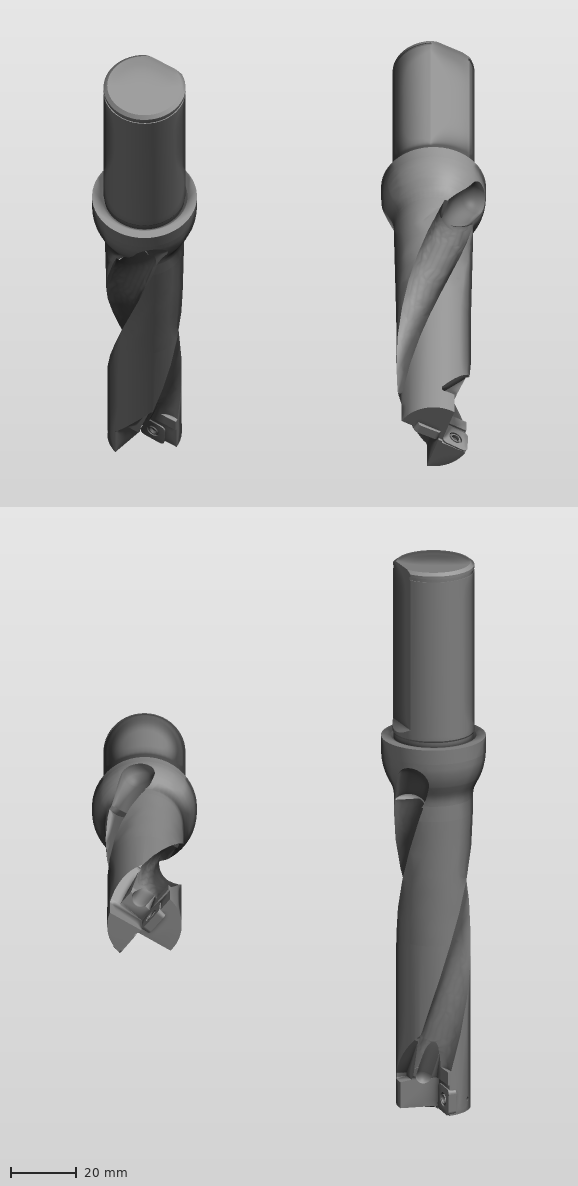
import cadquery as cq
import math

TOTAL_LENGTH = 175.0
SHANK_R = 25.0 / 2
END_FACE_R = 11.4
END_CHAMFER_HEIGHT = 0.9
GROOVE_R = 24.5 / 2
END_GROOVE_TOP_Z = 173.2
END_GROOVE_BOTTOM_Z = 172.2
UNDERCUT_TOP_Z = 121.3
UNDERCUT_CHAMFER = 0.5
UNDERCUT_RIM_R = 13.1
FLAT_Y = 10.5
FLAT_BOTTOM_Z = 124.2

FLANGE_R = 32.0 / 2
FLANGE_TOP_Z = 119.5
FLANGE_RIM_Z = 115.0
BODY_TOP_R = 12.0
BODY_LOW_R = 11.4
NECK_TOP_Z = 100.3
NECK_LOW_Z = 95.4
TAPER_END_Z = 55.3
BODY_BOTTOM_Z = 0.7
RAISED_BOTTOM_Z = 1.5
BULGE_R = 20.1

FLUTE_R = 6.5
FLUTE_CENTER_R = 10.8
FLUTE_BOTTOM_Z = 14.7
FLUTE_TOP_Z = 99.8
FLUTE_TOP_ANGLE = -70.0
TWIST_PER_UNIT = 1.629
FLANGE_RUNOUT_R = 5.2
FLANGE_RUNOUT_START = cq.Vector(2.1, -8.8, 98.0)
FLANGE_RUNOUT_END = cq.Vector(9.0, -10.2, 108.7)
TIP_RUNOUT_R = 2.8
TIP_RUNOUT_START = cq.Vector(7.0, -2.1, 22.8)
TIP_RUNOUT_END = cq.Vector(3.5, -4.4, 11.5)

CENTRAL_WALL_X = -1.5
PERIPHERAL_WALL_X = -3.2
WALL_TOP_Z = 10.5
FLANK_FOOT_X = 2.5
FLANK_TOP_X = 7.0
FLANK_TOP_Z = 25.4
SLOPE_DEPTH_Y = -7.9
SLOPE_START_X = -2.5
SLOPE_START_Z = 11.5
SLOPE_END_X = 8.8
SLOPE_END_Z = 27.1
WALL_DRAFT = 10.0
LAND_DEPTH = 0.5

INSERT_SIDE = 8.4
INSERT_CORNER_R = 1.4
INSERT_THICKNESS = 2.6
INSERT_RELIEF = 7.0
INSERT_TILT = 3.0
CENTRAL_INSERT_X = 3.0
PERIPHERAL_INSERT_X = -7.7
PERIPHERAL_INSERT_RISE = 0.7
SCREW_RECESS_R = 4.4 / 2
SCREW_HEAD_R = 3.2 / 2
SCREW_RECESS_DEPTH = 0.5
SOCKET_R = 2.5 / 2
SOCKET_DEPTH = 1.0

MARK_R = 0.7
MARK_DEPTH = 0.9
MARK_Z = 4.4
MARK_ANGLE = -137.0

CLEAR = 21.0


def turned_blank():
    """Shank, flange and body as one turned profile."""
    bulge_x = FLANGE_R - BULGE_R
    offset = BODY_TOP_R - bulge_x
    drop = FLANGE_RIM_Z - NECK_TOP_Z
    hollow_r = (offset**2 + drop**2 - BULGE_R**2) / (2 * (BULGE_R - offset))
    hollow_x = BODY_TOP_R + hollow_r
    tangent_angle = math.atan2(drop, hollow_x - bulge_x)

    def bulge_point(angle):
        return bulge_x + BULGE_R * math.cos(angle), FLANGE_RIM_Z - BULGE_R * math.sin(angle)

    middle_angle = tangent_angle / 2
    hollow_middle = (
        hollow_x - hollow_r * math.cos(middle_angle),
        NECK_TOP_Z + hollow_r * math.sin(middle_angle),
    )
    return (
        cq.Workplane("XZ")
        .moveTo(0, BODY_BOTTOM_Z)
        .lineTo(BODY_LOW_R, BODY_BOTTOM_Z)
        .lineTo(BODY_LOW_R, TAPER_END_Z)
        .lineTo(BODY_TOP_R, NECK_LOW_Z)
        .lineTo(BODY_TOP_R, NECK_TOP_Z)
        .threePointArc(hollow_middle, bulge_point(tangent_angle))
        .threePointArc(bulge_point(tangent_angle / 2), (FLANGE_R, FLANGE_RIM_Z))
        .lineTo(FLANGE_R, FLANGE_TOP_Z)
        .lineTo(UNDERCUT_RIM_R, FLANGE_TOP_Z)
        .lineTo(GROOVE_R, FLANGE_TOP_Z - UNDERCUT_CHAMFER)
        .lineTo(GROOVE_R, UNDERCUT_TOP_Z - UNDERCUT_CHAMFER)
        .lineTo(SHANK_R, UNDERCUT_TOP_Z)
        .lineTo(SHANK_R, END_GROOVE_BOTTOM_Z)
        .lineTo(GROOVE_R, END_GROOVE_BOTTOM_Z)
        .lineTo(GROOVE_R, END_GROOVE_TOP_Z)
        .lineTo(SHANK_R, END_GROOVE_TOP_Z)
        .lineTo(SHANK_R, TOTAL_LENGTH - END_CHAMFER_HEIGHT)
        .lineTo(END_FACE_R, TOTAL_LENGTH)
        .lineTo(0, TOTAL_LENGTH)
        .close()
        .revolve(360, (0, 0, 0), (0, 1, 0))
    )


def shank_flat():
    """Cutter for the clamping flat, with its 45 degree runout."""
    reach = CLEAR - FLAT_Y
    return (
        cq.Workplane("YZ")
        .moveTo(FLAT_Y, FLAT_BOTTOM_Z)
        .lineTo(FLAT_Y, TOTAL_LENGTH)
        .lineTo(CLEAR, TOTAL_LENGTH)
        .lineTo(CLEAR, FLAT_BOTTOM_Z - reach)
        .close()
        .extrude(CLEAR, both=True)
        .intersect(cq.Workplane("XY", origin=(0, 0, FLANGE_TOP_Z)).circle(CLEAR).extrude(TOTAL_LENGTH))
    )


def flute():
    """Cutter for one helical flute."""
    height = FLUTE_TOP_Z - FLUTE_BOTTOM_Z
    twist = TWIST_PER_UNIT * height
    bottom_angle = math.radians(FLUTE_TOP_ANGLE - twist)
    return (
        cq.Workplane("XY", origin=(0, 0, FLUTE_BOTTOM_Z))
        .moveTo(FLUTE_CENTER_R * math.cos(bottom_angle), FLUTE_CENTER_R * math.sin(bottom_angle))
        .circle(FLUTE_R)
        .twistExtrude(height, twist)
    )


def runout(radius, start, end):
    """Cutter for a straight ball-ended groove that carries a flute on past its helix."""
    path = end - start
    groove = cq.Solid.makeCylinder(radius, path.Length, start, path)
    ball = cq.Workplane("XY").sphere(radius).translate(end)
    return cq.Workplane(groove).union(ball)


def chip_pocket(wall_x):
    """Cutter for the pocket in front of an insert, right of wall_x and opening toward -Y."""
    return (
        cq.Workplane("XZ", origin=(0, LAND_DEPTH, 0))
        .moveTo(wall_x, -CLEAR)
        .lineTo(wall_x, WALL_TOP_Z)
        .lineTo(CLEAR, WALL_TOP_Z)
        .lineTo(CLEAR, -CLEAR)
        .close()
        .extrude(CLEAR, taper=-WALL_DRAFT)
    )


def pocket_flank():
    """Cutter for the steep flank above the land, where the flute runs into the pocket."""
    return (
        cq.Workplane("XZ")
        .moveTo(FLANK_FOOT_X, WALL_TOP_Z)
        .lineTo(FLANK_TOP_X, FLANK_TOP_Z)
        .lineTo(CLEAR, FLANK_TOP_Z)
        .lineTo(CLEAR, WALL_TOP_Z)
        .close()
        .extrude(CLEAR)
    )


def pocket_shoulder():
    """Cutter for the sloped shoulder that leads from the pocket wall up to the flute."""
    return (
        cq.Workplane("XZ", origin=(0, SLOPE_DEPTH_Y, 0))
        .moveTo(SLOPE_START_X, WALL_TOP_Z)
        .lineTo(SLOPE_START_X, SLOPE_START_Z)
        .lineTo(SLOPE_END_X, SLOPE_END_Z)
        .lineTo(CLEAR, SLOPE_END_Z)
        .lineTo(CLEAR, WALL_TOP_Z)
        .close()
        .extrude(CLEAR, taper=-WALL_DRAFT)
    )


def raised_end():
    """Cutter that shortens the +Y half of the body at the cutting end."""
    return cq.Workplane("XY").rect(2 * CLEAR, CLEAR).extrude(RAISED_BOTTOM_Z).translate((0, CLEAR / 2, 0))


def insert_blank():
    """Tilted square insert without its screw, face at Y = 0 toward -Y, lowest point at Z = 0."""
    plate = (
        cq.Workplane("XZ")
        .sketch()
        .rect(INSERT_SIDE, INSERT_SIDE)
        .vertices()
        .fillet(INSERT_CORNER_R)
        .finalize()
        .extrude(-INSERT_THICKNESS, taper=INSERT_RELIEF)
        .rotate((0, 0, 0), (0, 1, 0), INSERT_TILT)
    )
    tilt = math.radians(INSERT_TILT)
    arc_center = INSERT_SIDE / 2 - INSERT_CORNER_R
    center_z = arc_center * (math.cos(tilt) + math.sin(tilt)) + INSERT_CORNER_R
    return plate.translate((0, 0, center_z)), center_z


def insert():
    """Insert with its clamping screw head: a ring recess round the head, and a drive socket."""
    plate, center_z = insert_blank()
    face = cq.Workplane("XZ", origin=(0, 0, center_z))
    ring = face.circle(SCREW_RECESS_R).circle(SCREW_HEAD_R).extrude(-SCREW_RECESS_DEPTH)
    socket = face.circle(SOCKET_R).extrude(-SOCKET_DEPTH)
    return plate.cut(ring).cut(socket)


def body_mark():
    """Cutter for the small radial hole in the side of the body."""
    angle = math.radians(MARK_ANGLE)
    outward = cq.Vector(math.cos(angle), math.sin(angle), 0)
    start = outward * (BODY_LOW_R - MARK_DEPTH) + cq.Vector(0, 0, MARK_Z)
    return cq.Workplane(cq.Solid.makeCylinder(MARK_R, CLEAR, start, outward))


def half_turn(shape):
    return shape.rotate((0, 0, 0), (0, 0, 1), 180)


def insert_seats(shape):
    """The given insert shape in its central and its peripheral place."""
    central = shape.translate((CENTRAL_INSERT_X, 0, 0))
    peripheral = half_turn(shape).translate((PERIPHERAL_INSERT_X, 0, PERIPHERAL_INSERT_RISE))
    return [central, peripheral]


def drill():
    body = turned_blank().cut(shank_flat()).cut(body_mark()).cut(raised_end())
    paired_cutters = [
        flute(),
        runout(FLANGE_RUNOUT_R, FLANGE_RUNOUT_START, FLANGE_RUNOUT_END),
        runout(TIP_RUNOUT_R, TIP_RUNOUT_START, TIP_RUNOUT_END),
        pocket_flank(),
        pocket_shoulder(),
    ]
    for cutter in paired_cutters:
        body = body.cut(cutter).cut(half_turn(cutter))
    body = body.cut(chip_pocket(CENTRAL_WALL_X)).cut(half_turn(chip_pocket(-PERIPHERAL_WALL_X)))
    for seat in insert_seats(insert_blank()[0]):
        body = body.cut(seat)
    return body


drill_body = drill()
inserts = insert_seats(insert())

result = cq.Compound.makeCompound([drill_body.val(), *[item.val() for item in inserts]])